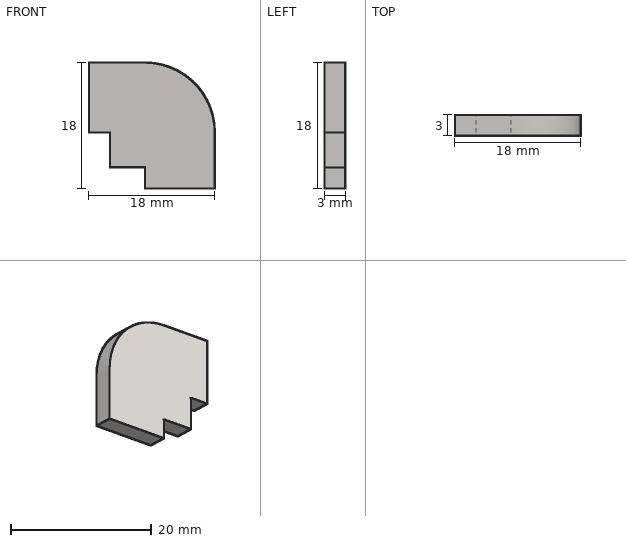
import cadquery as cq

side = 18.0
thickness = 3.0
end_width = 10.0
step_depth = 3.0
corner_radius = 10.0

step_edge = side - end_width
plate = (
    cq.Workplane("XZ")
    .moveTo(0, side)
    .lineTo(side, side)
    .lineTo(side, 0)
    .lineTo(step_edge, 0)
    .lineTo(step_edge, step_depth)
    .lineTo(step_depth, step_depth)
    .lineTo(step_depth, step_edge)
    .lineTo(0, step_edge)
    .close()
    .extrude(thickness)
)

result = plate.edges("|Y and >X and >Z").fillet(corner_radius)